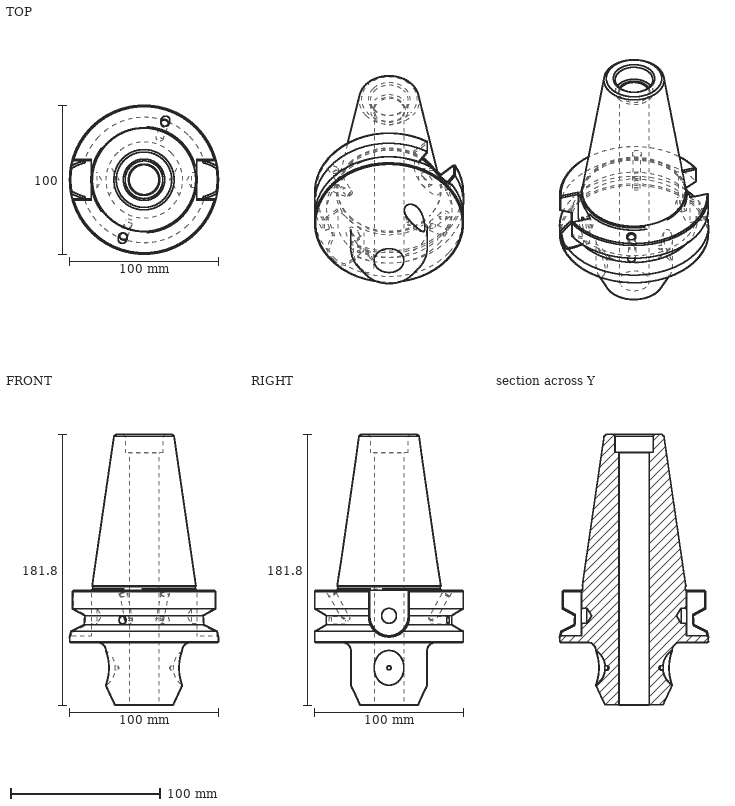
import cadquery as cq
import math

total_height = 181.8
gauge_z = 80.0
flange_top_z = 77.0
flange_bottom_z = 42.0
groove_z = 57.0
shoulder_z = 13.0

gauge_diameter = 69.8
taper_ratio = 7 / 24
shank_tip_chamfer_width = 1.5
shank_tip_chamfer_height = 1.3
relief_depth = 0.4
relief_fillet = 1.0

flange_diameter = 100.0
flange_top_chamfer = 0.9
flange_bottom_chamfer = 0.7
groove_diameter = 84.4
groove_floor_width = 6.2
groove_flank_angle = 30

nose_diameter = 51.3
nose_cone_angle = 25
neck_fillet = 5.5
shoulder_fillet = 2.5
nose_edge_fillet = 1.3

bore_diameter = 20.0
bore_chamfer_diameter = 21.0
counterbore_diameter = 25.3
counterbore_depth = 12.0
counterbore_mouth_chamfer = 1.3

slot_width = 25.6
slot_floor_x = 35.3
slot_arc_z = 59.5
slot_hole_z = 60.0
slot_edge_chamfer = 0.9
slot_hole_diameter = 10.0
slot_hole_depth = 3.6

seat_z = 25.0
seat_mouth_diameter = 20.0
seat_sphere_radius = 14.0
center_hole_diameter = 2.7
center_hole_depth = 1.8
drill_point_angle = 118

channel_azimuth = 250
channel_radius = 41.8
channel_tilt = 30
channel_diameter = 5.0
thread_diameter = 6.0
thread_depth = 3.0

overcut = 1.8
pick_margin = 0.2

flange_radius = flange_diameter / 2
nose_radius = nose_diameter / 2
slot_radius = slot_width / 2


def cone_length(start_diameter, end_diameter, included_angle):
    """Axial length of a cone between two diameters."""
    return (start_diameter - end_diameter) / 2 / math.tan(math.radians(included_angle / 2))


def turn_about_z(outline):
    """Turn a (radius, z) outline about the Z axis."""
    return cq.Workplane("XZ").polyline(outline).close().revolve(360, (0, 0, 0), (0, 1, 0))


def round_circle(solid, radius, z, fillet):
    """Fillet the circular edges of up to the given radius at height z."""
    reach = radius + pick_margin
    corner = cq.selectors.BoxSelector(
        (-reach, -reach, z - pick_margin), (reach, reach, z + pick_margin), boundingbox=True
    )
    return solid.edges(corner).fillet(fillet)


def make_body():
    """Turned outer shape: shank, flange with V-groove, neck and nose."""
    gauge_radius = gauge_diameter / 2
    relief_radius = gauge_radius - relief_depth
    tip_radius = gauge_radius - (total_height - gauge_z) * taper_ratio / 2
    nose_tip_radius = nose_radius - shoulder_z * math.tan(math.radians(nose_cone_angle))
    groove_radius = groove_diameter / 2
    floor_half = groove_floor_width / 2
    rim_half = floor_half + (flange_radius - groove_radius) * math.tan(math.radians(groove_flank_angle))

    outline = [
        (0, 0),
        (nose_tip_radius, 0),
        (nose_radius, shoulder_z),
        (nose_radius, flange_bottom_z),
        (flange_radius - flange_bottom_chamfer, flange_bottom_z),
        (flange_radius, flange_bottom_z + flange_bottom_chamfer),
        (flange_radius, groove_z - rim_half),
        (groove_radius, groove_z - floor_half),
        (groove_radius, groove_z + floor_half),
        (flange_radius, groove_z + rim_half),
        (flange_radius, flange_top_z - flange_top_chamfer),
        (flange_radius - flange_top_chamfer, flange_top_z),
        (relief_radius, flange_top_z),
        (relief_radius, gauge_z - relief_depth),
        (gauge_radius, gauge_z),
        (tip_radius + shank_tip_chamfer_height * taper_ratio / 2, total_height - shank_tip_chamfer_height),
        (tip_radius - shank_tip_chamfer_width, total_height),
        (0, total_height),
    ]
    body = turn_about_z(outline)
    body = round_circle(body, nose_tip_radius, 0, nose_edge_fillet)
    body = round_circle(body, nose_radius, shoulder_z, shoulder_fillet)
    body = round_circle(body, nose_radius, flange_bottom_z, neck_fillet)
    return round_circle(body, relief_radius, flange_top_z, relief_fillet)


def make_bore():
    """Through bore with a wider counterbore at the shank end."""
    bore_radius = bore_diameter / 2
    step_radius = bore_chamfer_diameter / 2
    counterbore_radius = counterbore_diameter / 2
    counterbore_z = total_height - counterbore_depth
    outline = [
        (0, 0),
        (bore_radius, 0),
        (bore_radius, counterbore_z - (step_radius - bore_radius)),
        (step_radius, counterbore_z),
        (counterbore_radius, counterbore_z),
        (counterbore_radius, total_height - counterbore_mouth_chamfer),
        (counterbore_radius + counterbore_mouth_chamfer, total_height),
        (0, total_height),
    ]
    return turn_about_z(outline)


def make_slot():
    """Round-bottomed drive slot on the -X side, open upward and outward."""
    length = flange_radius - slot_floor_x + overcut
    height = flange_top_z - slot_arc_z
    return (
        cq.Workplane("YZ", origin=(-slot_floor_x, 0, slot_arc_z))
        .moveTo(-slot_radius, height)
        .lineTo(-slot_radius, 0)
        .threePointArc((0, -slot_radius), (slot_radius, 0))
        .lineTo(slot_radius, height)
        .close()
        .extrude(-length)
    )


def break_slot_edges(solid):
    """Chamfer the slot edges on the flange top and around the outside of the flange."""
    reach = flange_diameter
    half_width = slot_radius + pick_margin
    lowest_z = flange_bottom_z + flange_bottom_chamfer + pick_margin
    highest_z = flange_top_z + pick_margin
    outer_rim = cq.selectors.BoxSelector(
        (-reach, -half_width, lowest_z), (reach, half_width, highest_z), boundingbox=True
    )
    floor_reach = slot_floor_x + relief_fillet
    near_floor = cq.selectors.BoxSelector((-floor_reach, -reach, 0), (floor_reach, reach, total_height))
    return solid.edges(outer_rim - near_floor).chamfer(slot_edge_chamfer)


def make_slot_hole():
    """Blind drilled hole in the floor of the -X drive slot."""
    radius = slot_hole_diameter / 2
    bottom_x = -slot_floor_x + slot_hole_depth
    apex_x = bottom_x + cone_length(slot_hole_diameter, 0, drill_point_angle)
    outline = [(-slot_floor_x, 0), (-slot_floor_x, radius), (bottom_x, radius), (apex_x, 0)]
    return (
        cq.Workplane("XZ", origin=(0, 0, slot_hole_z))
        .polyline(outline)
        .close()
        .revolve(360, (0, 0, 0), (1, 0, 0))
    )


def make_screw_seat():
    """Spherical screw seat in the -X side of the nose, with a small centre hole."""
    mouth_radius = seat_mouth_diameter / 2
    center_radius = center_hole_diameter / 2

    mouth_x = -math.sqrt(nose_radius**2 - mouth_radius**2)
    sphere_x = mouth_x - math.sqrt(seat_sphere_radius**2 - mouth_radius**2)
    rim_x = sphere_x + math.sqrt(seat_sphere_radius**2 - center_radius**2)
    bottom_x = rim_x + center_hole_depth
    apex_x = bottom_x + cone_length(center_hole_diameter, 0, drill_point_angle)

    widest_point = (sphere_x, seat_sphere_radius)
    return (
        cq.Workplane("XZ", origin=(0, 0, seat_z))
        .moveTo(sphere_x - seat_sphere_radius, 0)
        .threePointArc(widest_point, (rim_x, center_radius))
        .lineTo(bottom_x, center_radius)
        .lineTo(apex_x, 0)
        .close()
        .revolve(360, (0, 0, 0), (1, 0, 0))
    )


def make_channel():
    """Tilted channel from the flange top, met by a radial hole from the groove floor."""
    tilt = math.radians(channel_tilt)
    drop = flange_top_z - groove_z
    inward = cq.Vector(-math.sin(tilt), 0, -math.cos(tilt))
    mouth = cq.Vector(channel_radius, 0, flange_top_z)
    lead = thread_diameter
    start = mouth - inward * lead
    radius = channel_diameter / 2
    tilted = cq.Solid.makeCylinder(radius, lead + drop / math.cos(tilt), start, inward)
    thread = cq.Solid.makeCylinder(thread_diameter / 2, lead + thread_depth, start, inward)

    meeting_radius = channel_radius - drop * math.tan(tilt)
    radial = cq.Solid.makeCylinder(
        radius, flange_radius - meeting_radius, cq.Vector(meeting_radius, 0, groove_z), cq.Vector(1, 0, 0)
    )
    channel = cq.Workplane(tilted).union(cq.Workplane(thread)).union(cq.Workplane(radial))
    return channel.rotate((0, 0, 0), (0, 0, 1), channel_azimuth)


def cut_pair(solid, tool):
    """Cut a tool and its copy half a turn about Z."""
    return solid.cut(tool).cut(tool.rotate((0, 0, 0), (0, 0, 1), 180))


result = cut_pair(make_body(), make_slot())
result = break_slot_edges(result)
result = result.cut(make_bore())
for tool in (make_slot_hole(), make_screw_seat(), make_channel()):
    result = cut_pair(result, tool)